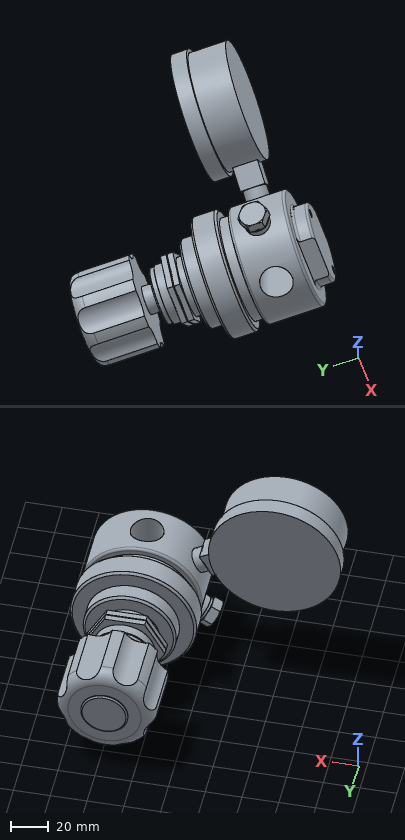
import cadquery as cq
import math

OVERALL_LENGTH = 143.7
PORT_ANGLE = 30.0

HOUSING_RADIUS = 32.9
HOUSING_BOTTOM = -16.7
HOUSING_TOP = 15.7
HOUSING_FILLET = 1.5
NECK_RADIUS = 29.0
THROUGH_PORT_RADIUS = 8.9
PLUG_RADIUS = 22.4
PLUG_BOTTOM = -25.9
PLUG_FILLET = 1.5
FLATS_WIDTH = 38.0
PIN_HOLE_RADIUS = 2.2
PIN_HOLE_DEPTH = 4.3
PIN_HOLE_OFFSET = 17.5
DRILL_POINT_ANGLE = 118.0

FLANGE_RADIUS = 34.3
FLANGE_BOTTOM = 21.5
FLANGE_TOP = 36.4
SHOULDER_RADIUS = 25.3
SHOULDER_TOP = 46.0
RIM_CHAMFER = 1.3
BARREL_RADIUS = 16.7
BARREL_TOP = 63.4
BARREL_END_RADIUS = 16.0
BARREL_END_TOP = 66.8
BARREL_END_CHAMFER = 0.9
NUT_THICKNESS = 3.3
NUT_GAP = 0.6
FIRST_NUT_BOTTOM = 50.7

STEM_RADIUS = 7.9
KNOB_RADIUS = 27.0
KNOB_BOTTOM = 73.6
KNOB_TOP = 109.5
KNOB_FILLET = 7.2
FLUTE_COUNT = 8
FLUTE_RADIUS = 11.5
FLUTE_DEPTH = 3.5
CAP_RADIUS = 12.8
CAP_HEIGHT = 1.3
CAP_CHAMFER = 0.9

BEZEL_RADIUS = 35.9
BEZEL_BOTTOM = 10.6
BEZEL_TOP = 19.8
CASE_RADIUS = 33.6
CASE_BOTTOM = -10.6
GAUGE_BLOCK_WIDTH = 14.1
GAUGE_BLOCK_END = 38.5
GAUGE_STEM_RADIUS = 6.8

VALVE_END = 43.1
VALVE_HEX_START = 37.2
VALVE_COLLAR_END = 35.8
VALVE_HEX_FLATS = 14.4
VALVE_COLLAR_RADIUS = 6.9
VALVE_NECK_RADIUS = 6.6
VALVE_END_RADIUS = 7.3
VALVE_CHAMFER_ANGLE = 30.0


def hex_corners(flats):
    """Diameter across the corners of a hexagon."""
    return flats / math.cos(math.pi / 6)


def disc(radius, bottom, top):
    """Cylinder about the Y axis from one Y level to another."""
    return cq.Workplane("XZ", origin=(0, bottom, 0)).circle(radius).extrude(bottom - top)


def rod(radius, near, far):
    """Cylinder along -X between two distances from the Y axis."""
    return cq.Workplane("YZ", origin=(-far, 0, 0)).circle(radius).extrude(far - near)


def tilt(body, angle):
    """Turn a body about the Y axis; a positive angle raises the -X side."""
    return body.rotate((0, 0, 0), (0, 1, 0), angle)


def make_plug():
    """End plug with a fillet at both ends, cut to two flats."""
    face_radius = PLUG_RADIUS - PLUG_FILLET
    root_radius = PLUG_RADIUS + PLUG_FILLET
    bend = PLUG_FILLET * math.sin(math.pi / 4)
    lower_centre = PLUG_BOTTOM + PLUG_FILLET
    upper_centre = HOUSING_BOTTOM - PLUG_FILLET
    plug = (
        cq.Workplane("XY")
        .moveTo(0, PLUG_BOTTOM)
        .lineTo(face_radius, PLUG_BOTTOM)
        .threePointArc((face_radius + bend, lower_centre - bend), (PLUG_RADIUS, lower_centre))
        .lineTo(PLUG_RADIUS, upper_centre)
        .threePointArc((root_radius - bend, upper_centre + bend), (root_radius, HOUSING_BOTTOM))
        .lineTo(0, HOUSING_BOTTOM)
        .close()
        .revolve(360, (0, 0, 0), (0, 1, 0))
    )
    flats = cq.Workplane("XY").box(2 * root_radius, -2 * PLUG_BOTTOM, FLATS_WIDTH)
    plug = plug.intersect(flats)
    return plug.cut(make_pin_hole(PIN_HOLE_OFFSET)).cut(make_pin_hole(-PIN_HOLE_OFFSET))


def make_pin_hole(x):
    """Drilled blind hole with a conical bottom."""
    cone_height = PIN_HOLE_RADIUS / math.tan(math.radians(DRILL_POINT_ANGLE / 2))
    cone_start = PLUG_BOTTOM + PIN_HOLE_DEPTH
    return (
        cq.Workplane("XY", origin=(x, 0, 0))
        .moveTo(0, PLUG_BOTTOM)
        .lineTo(PIN_HOLE_RADIUS, PLUG_BOTTOM)
        .lineTo(PIN_HOLE_RADIUS, cone_start)
        .lineTo(0, cone_start + cone_height)
        .close()
        .revolve(360, (0, 0, 0), (0, 1, 0))
    )


def make_housing():
    """Round housing with a through port along Z, the end plug and the neck."""
    drum = disc(HOUSING_RADIUS, HOUSING_BOTTOM, HOUSING_TOP).edges().fillet(HOUSING_FILLET)
    port = cq.Workplane("XY").circle(THROUGH_PORT_RADIUS).extrude(HOUSING_RADIUS, both=True)
    neck = disc(NECK_RADIUS, HOUSING_TOP, FLANGE_BOTTOM)
    return drum.cut(port).union(neck).union(make_plug())


def make_bonnet():
    """Flange, shoulder and barrel, with two hexagonal panel nuts on the barrel."""
    flange = disc(FLANGE_RADIUS, FLANGE_BOTTOM, FLANGE_TOP).edges().chamfer(RIM_CHAMFER)
    shoulder = disc(SHOULDER_RADIUS, FLANGE_TOP, SHOULDER_TOP).faces(">Y").edges().chamfer(RIM_CHAMFER)
    barrel = disc(BARREL_RADIUS, SHOULDER_TOP, BARREL_TOP)
    barrel_end = disc(BARREL_END_RADIUS, BARREL_TOP, BARREL_END_TOP)
    barrel_end = barrel_end.faces(">Y").edges().chamfer(BARREL_END_CHAMFER)
    bonnet = flange.union(shoulder).union(barrel).union(barrel_end)
    for index in range(2):
        nut_bottom = FIRST_NUT_BOTTOM + index * (NUT_THICKNESS + NUT_GAP)
        nut = (
            cq.Workplane("XZ", origin=(0, nut_bottom, 0))
            .polygon(6, hex_corners(FLATS_WIDTH))
            .extrude(-NUT_THICKNESS)
        )
        bonnet = bonnet.union(nut)
    return bonnet


def make_knob():
    """Fluted knob with a rounded top and a low cap."""
    knob = disc(KNOB_RADIUS, KNOB_BOTTOM, KNOB_TOP).faces(">Y").edges().fillet(KNOB_FILLET)
    flute_pitch = 360 / FLUTE_COUNT
    flute = disc(FLUTE_RADIUS, KNOB_BOTTOM, KNOB_TOP)
    flute = flute.translate((KNOB_RADIUS - FLUTE_DEPTH + FLUTE_RADIUS, 0, 0))
    for index in range(FLUTE_COUNT):
        knob = knob.cut(tilt(flute, (index + 0.5) * flute_pitch))
    cap = disc(CAP_RADIUS, KNOB_TOP, KNOB_TOP + CAP_HEIGHT).faces(">Y").edges().chamfer(CAP_CHAMFER)
    return knob.union(cap)


def make_regulator():
    """Housing, bonnet, stem and knob as one body."""
    stem = disc(STEM_RADIUS, BARREL_END_TOP, KNOB_BOTTOM)
    return make_housing().union(make_bonnet()).union(stem).union(make_knob())


def make_gauge():
    """Gauge whose stem ends on the housing's wall."""
    centre_x = OVERALL_LENGTH - BEZEL_RADIUS - FLANGE_RADIUS
    arm = centre_x / math.cos(math.radians(PORT_ANGLE))
    case = disc(CASE_RADIUS, CASE_BOTTOM, BEZEL_BOTTOM)
    bezel = disc(BEZEL_RADIUS, BEZEL_BOTTOM, BEZEL_TOP)
    head = case.union(bezel).translate((-arm, 0, 0))
    block = (
        cq.Workplane("YZ", origin=(-arm, 0, 0))
        .rect(GAUGE_BLOCK_WIDTH, GAUGE_BLOCK_WIDTH)
        .extrude(arm - GAUGE_BLOCK_END)
    )
    stem = rod(GAUGE_STEM_RADIUS, 0, GAUGE_BLOCK_END).cut(disc(HOUSING_RADIUS, HOUSING_BOTTOM, HOUSING_TOP))
    return tilt(head.union(block).union(stem), PORT_ANGLE)


def make_relief_valve():
    """Hexagon-headed relief valve whose collar ends on the housing's wall."""
    corner_radius = hex_corners(VALVE_HEX_FLATS) / 2
    hexagon = (
        cq.Workplane("YZ", origin=(-VALVE_END, 0, 0))
        .polygon(6, 2 * corner_radius)
        .extrude(VALVE_END - VALVE_HEX_START)
    )
    chamfer_width = corner_radius - VALVE_END_RADIUS
    chamfer_height = chamfer_width * math.tan(math.radians(VALVE_CHAMFER_ANGLE))
    envelope = rod(corner_radius, VALVE_HEX_START, VALVE_END)
    envelope = envelope.faces("<X").edges().chamfer(chamfer_height, chamfer_width)
    head = hexagon.intersect(envelope)
    neck = rod(VALVE_NECK_RADIUS, VALVE_COLLAR_END, VALVE_HEX_START)
    collar = rod(VALVE_COLLAR_RADIUS, 0, VALVE_COLLAR_END)
    collar = collar.cut(disc(HOUSING_RADIUS, HOUSING_BOTTOM, HOUSING_TOP))
    return tilt(head.union(neck).union(collar), -PORT_ANGLE)


regulator = make_regulator()
gauge = make_gauge()
relief_valve = make_relief_valve()

result = cq.Compound.makeCompound([regulator.val(), gauge.val(), relief_valve.val()])